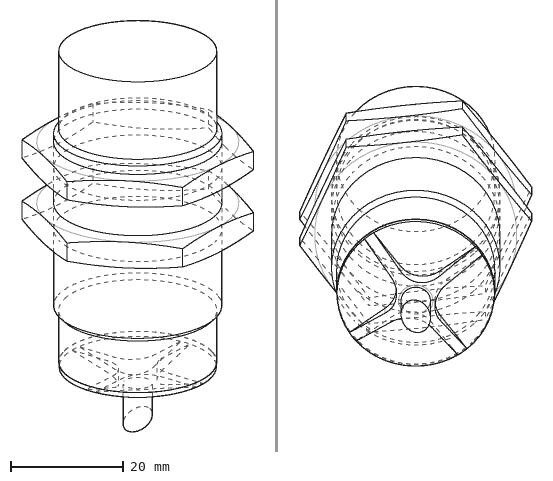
import cadquery as cq
import math

TOTAL_HEIGHT = 72.6

BARREL_DIAMETER = 30.0
SENSING_DIAMETER = 28.2
SENSING_LENGTH = 14.95
REAR_DIAMETER = SENSING_DIAMETER
BARREL_BOTTOM = 23.45
CAP_DIAMETER = 28.0
CAP_TOP = 12.55
CAP_BASE = 11.6

HUB_DIAMETER = 6.1
RIB_DEPTH = 3.1
RIB_WIDTH = 2.0
RIB_FILLET = 5.0

CABLE_DIAMETER = 5.2
CABLE_CUT_ANGLE = 30.0

NUT_FLATS = 36.0
NUT_HEIGHT = 5.0
NUT_CHAMFER_ANGLE = 15.0
NUT_BASES = (50.1, 38.3)

RIB_BOTTOM = CAP_BASE - RIB_DEPTH


def make_barrel():
    """Revolve the stepped, chamfered barrel and its end cap."""
    sensing_radius = SENSING_DIAMETER / 2
    barrel_radius = BARREL_DIAMETER / 2
    rear_radius = REAR_DIAMETER / 2
    shoulder = TOTAL_HEIGHT - SENSING_LENGTH
    upper_chamfer = barrel_radius - sensing_radius
    lower_chamfer = barrel_radius - rear_radius
    profile = [
        (0, CAP_BASE),
        (CAP_DIAMETER / 2, CAP_BASE),
        (CAP_DIAMETER / 2, CAP_TOP),
        (rear_radius, CAP_TOP),
        (rear_radius, BARREL_BOTTOM - lower_chamfer),
        (barrel_radius, BARREL_BOTTOM),
        (barrel_radius, shoulder - upper_chamfer),
        (sensing_radius, shoulder),
        (sensing_radius, TOTAL_HEIGHT),
        (0, TOTAL_HEIGHT),
    ]
    return cq.Workplane("XZ").polyline(profile).close().revolve(360, (0, 0), (0, 1))


def make_ribs():
    """Cross with concave inner corners, trimmed to a cone under the cap."""
    cross = (
        cq.Workplane("XY", origin=(0, 0, RIB_BOTTOM))
        .rect(CAP_DIAMETER, RIB_WIDTH)
        .extrude(RIB_DEPTH)
        .union(
            cq.Workplane("XY", origin=(0, 0, RIB_BOTTOM))
            .rect(RIB_WIDTH, CAP_DIAMETER)
            .extrude(RIB_DEPTH)
        )
    )
    inner_corners = cq.selectors.BoxSelector(
        (-RIB_WIDTH, -RIB_WIDTH, RIB_BOTTOM),
        (RIB_WIDTH, RIB_WIDTH, CAP_BASE),
    )
    cross = cross.edges("|Z").edges(inner_corners).fillet(RIB_FILLET)
    cone_profile = [
        (0, RIB_BOTTOM),
        (HUB_DIAMETER / 2, RIB_BOTTOM),
        (CAP_DIAMETER / 2, CAP_BASE),
        (0, CAP_BASE),
    ]
    cone = cq.Workplane("XZ").polyline(cone_profile).close().revolve(360, (0, 0), (0, 1))
    return cross.intersect(cone)


def make_cable():
    """Cable stub cut on a slant, longest on its -Y side."""
    radius = CABLE_DIAMETER / 2
    cut_rise = CABLE_DIAMETER * math.tan(math.radians(CABLE_CUT_ANGLE))
    side_outline = [
        (-radius, 0),
        (radius, cut_rise),
        (radius, CAP_BASE),
        (-radius, CAP_BASE),
    ]
    slanted_block = cq.Workplane("YZ").polyline(side_outline).close().extrude(radius, both=True)
    return cq.Workplane("XY").circle(radius).extrude(CAP_BASE).intersect(slanted_block)


def make_housing():
    return make_barrel().union(make_ribs()).union(make_cable())


def make_nut(base):
    """Hexagon nut with corners on the Y axis, chamfered on both faces."""
    corner_radius = NUT_FLATS / 2 / math.cos(math.radians(30))
    face_radius = NUT_FLATS / 2
    corner_drop = (corner_radius - face_radius) * math.tan(math.radians(NUT_CHAMFER_ANGLE))
    hexagon = (
        cq.Workplane("XY", origin=(0, 0, base))
        .polygon(6, 2 * corner_radius)
        .extrude(NUT_HEIGHT)
        .rotate((0, 0, 0), (0, 0, 1), 30)
    )
    bore_radius = BARREL_DIAMETER / 2
    top = base + NUT_HEIGHT
    turned_profile = [
        (bore_radius, base),
        (face_radius, base),
        (corner_radius, base + corner_drop),
        (corner_radius, top - corner_drop),
        (face_radius, top),
        (bore_radius, top),
    ]
    turned = cq.Workplane("XZ").polyline(turned_profile).close().revolve(360, (0, 0), (0, 1))
    return hexagon.intersect(turned)


housing = make_housing()
nuts = [make_nut(base) for base in NUT_BASES]

result = cq.Compound.makeCompound([housing.val(), *[nut.val() for nut in nuts]])